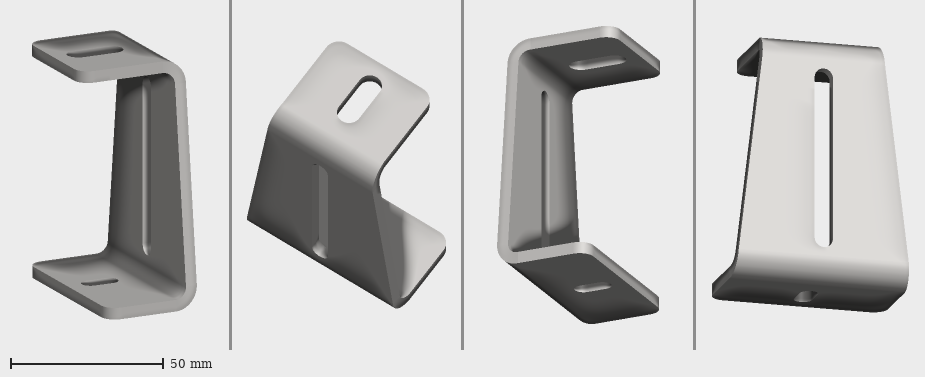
import cadquery as cq
import math

height = 83.0
thickness = 4.0
inner_bend_radius = 4.0
outer_bend_radius = inner_bend_radius + thickness
neutral_fraction = 0.25
cutter_margin = 0.8
corner_radius = 5.0

bottom_width = 60.0
bottom_depth = 33.0
top_width = 40.0
top_depth = 38.0

wall_slot_width = 6.2
wall_slot_length = 61.2
top_slot_width = 8.0
top_slot_length = 20.0
top_slot_from_back = 23.0
bottom_slot_width = 6.2
bottom_slot_length = 13.0
bottom_slot_from_back = 21.25

wall_bottom = outer_bend_radius
wall_top = height - outer_bend_radius
bend_length = math.pi / 2 * (inner_bend_radius + neutral_fraction * thickness)
taper_length = wall_top - wall_bottom + 2 * bend_length
bend_narrowing = (bottom_width - top_width) * bend_length / taper_length
wall_bottom_width = bottom_width - bend_narrowing
wall_top_width = top_width + bend_narrowing


def flange(width, depth, base_z):
    """Flat flange, from the bend line to its rounded front corners."""
    length = depth - outer_bend_radius
    return (
        cq.Workplane("XY", origin=(0, -outer_bend_radius - length / 2, base_z))
        .rect(width, length)
        .extrude(thickness)
        .edges("|Z and <Y")
        .fillet(corner_radius)
    )


def wall():
    """Flat back wall, narrowing evenly from the bottom bend to the top bend."""
    return (
        cq.Workplane("XZ")
        .moveTo(-wall_bottom_width / 2, wall_bottom)
        .lineTo(wall_bottom_width / 2, wall_bottom)
        .lineTo(wall_top_width / 2, wall_top)
        .lineTo(-wall_top_width / 2, wall_top)
        .close()
        .extrude(thickness)
    )


def bend_section(start_angle, offset=0.0, margin=0.0):
    """Quarter ring in the YZ plane, starting at an angle measured from +Y toward +Z."""
    inner_radius = inner_bend_radius - margin
    outer_radius = outer_bend_radius + margin

    def ring_point(radius, angle):
        turn = math.radians(angle)
        return radius * math.cos(turn), radius * math.sin(turn)

    middle_angle = start_angle + 45
    end_angle = start_angle + 90
    return (
        cq.Workplane("YZ", origin=(offset, 0, 0))
        .moveTo(*ring_point(inner_radius, start_angle))
        .lineTo(*ring_point(outer_radius, start_angle))
        .threePointArc(ring_point(outer_radius, middle_angle), ring_point(outer_radius, end_angle))
        .lineTo(*ring_point(inner_radius, end_angle))
        .threePointArc(ring_point(inner_radius, middle_angle), ring_point(inner_radius, start_angle))
        .close()
    )


def tapered_bend(wide, narrow):
    """Quarter bend about the X axis, wide where it points to +Y and narrow where it points to +Z."""
    side_step = (wide - narrow) / 2
    half = bend_section(0).extrude(wide / 2)
    removed = bend_section(90, narrow / 2, cutter_margin).twistExtrude(side_step, -90)
    half = half.cut(removed)
    return half.union(half.mirror("YZ"))


def slot_cutter(plane, origin, length, width, depth):
    """Upright slot on the given plane, with its overall length and width."""
    return cq.Workplane(plane, origin=origin).slot2D(length, width, 90).extrude(depth)


top_bend = tapered_bend(wall_top_width, top_width).translate((0, -outer_bend_radius, wall_top))
bottom_bend = (
    tapered_bend(bottom_width, wall_bottom_width)
    .rotate((0, 0, 0), (1, 0, 0), -90)
    .translate((0, -outer_bend_radius, wall_bottom))
)

top_base = height - thickness
wall_slot = slot_cutter("XZ", (0, 0, height / 2), wall_slot_length, wall_slot_width, thickness)
top_slot = slot_cutter("XY", (0, -top_slot_from_back, top_base), top_slot_length, top_slot_width, thickness)
bottom_slot = slot_cutter("XY", (0, -bottom_slot_from_back, 0), bottom_slot_length, bottom_slot_width, thickness)

result = (
    wall()
    .union(top_bend)
    .union(bottom_bend)
    .union(flange(top_width, top_depth, top_base))
    .union(flange(bottom_width, bottom_depth, 0))
    .cut(wall_slot)
    .cut(top_slot)
    .cut(bottom_slot)
)